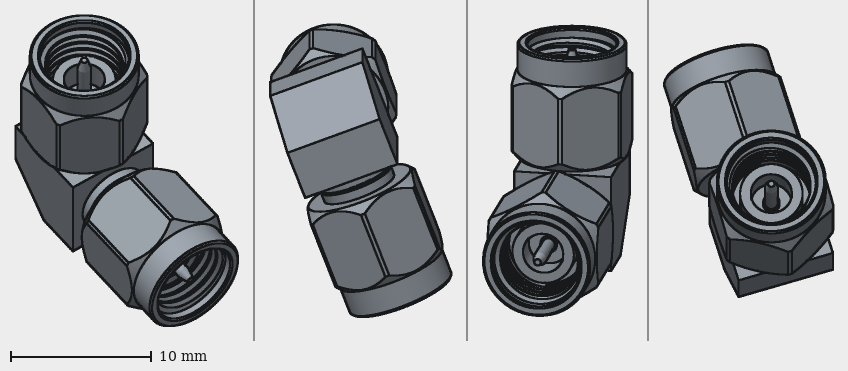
import cadquery as cq
import math

block_side = 7.03
elbow_chamfer = 3.46

neck_diameter = 5.33
upper_neck_length = 0.35
side_neck_length = 1.6
neck_groove_diameter = 4.9
neck_groove_width = 0.18
neck_groove_offset = 0.72

hex_flats = 7.95
hex_corner_diameter = 9.01
hex_length = 6.35
hex_bevel_length = 0.72
sleeve_diameter = 7.77
nut_length = 8.4
sleeve_bevel_length = 0.15
sleeve_bevel_width = 0.13

mouth_diameter = 6.6
mouth_bevel = 0.13
counterbore_diameter = 6.35
counterbore_depth = 0.7
thread_minor_diameter = 5.59
lead_in_length = 0.22
socket_depth = 4.32
thread_pitch = 0.7
thread_groove_width = 0.5
thread_groove_depth = 0.36
thread_start_depth = 3.9
thread_turns = 5

barrel_diameter = 4.45
barrel_face_depth = 2.61
cavity_diameter = 2.92
cavity_depth = 4.8
collar_diameter = 1.19
collar_height = 0.18
pin_diameter = 0.94
pin_tip_diameter = 0.47
pin_tip_depth = 0.52
pin_shoulder_depth = 1.33


def cylinder(diameter, bottom, top):
    """Round bar along Z between two heights."""
    return cq.Workplane("XY").workplane(offset=bottom).circle(diameter / 2).extrude(top - bottom)


def revolve_profile(points):
    """Solid of revolution about Z from (radius, height) points."""
    return cq.Workplane("XZ").polyline(points).close().revolve(360, (0, 0), (0, 1))


def make_block():
    """Square block with its outer bottom edge cut away at 45 degrees."""
    block = cq.Workplane("XY").box(block_side, block_side, block_side)
    return block.faces("<X").edges("<Z").chamfer(elbow_chamfer)


def make_nut_body():
    """Hexagon with turned corners and bevelled ends, plus the sleeve."""
    corner_to_corner = hex_flats / math.cos(math.radians(30))
    hexagon = cq.Workplane("XY").polygon(6, corner_to_corner).extrude(hex_length)
    end_radius = sleeve_diameter / 2
    corner_radius = hex_corner_diameter / 2
    envelope = revolve_profile([
        (0, 0),
        (end_radius, 0),
        (corner_radius, hex_bevel_length),
        (corner_radius, hex_length - hex_bevel_length),
        (end_radius, hex_length),
        (0, hex_length),
    ])
    sleeve = revolve_profile([
        (0, hex_length),
        (end_radius, hex_length),
        (end_radius, nut_length - sleeve_bevel_length),
        (end_radius - sleeve_bevel_width, nut_length),
        (0, nut_length),
    ])
    return hexagon.intersect(envelope).union(sleeve)


def make_socket():
    """Turned space inside the nut, before threading."""
    counterbore_floor = nut_length - counterbore_depth
    socket_floor = nut_length - socket_depth
    return revolve_profile([
        (0, socket_floor),
        (thread_minor_diameter / 2, socket_floor),
        (thread_minor_diameter / 2, counterbore_floor - lead_in_length),
        (counterbore_diameter / 2, counterbore_floor),
        (counterbore_diameter / 2, nut_length - mouth_bevel),
        (mouth_diameter / 2, nut_length),
        (0, nut_length),
    ])


def make_thread_groove():
    """Right-handed V groove reaching slightly inside the minor diameter."""
    start = nut_length - thread_start_depth
    inner_radius = thread_minor_diameter / 2
    overlap = 0.05
    half_width = thread_groove_width / 2 * (1 + overlap / thread_groove_depth)
    helix = cq.Wire.makeHelix(thread_pitch, thread_pitch * thread_turns, inner_radius, cq.Vector(0, 0, start))
    profile = cq.Workplane("XZ").polyline([
        (inner_radius - overlap, start - half_width),
        (inner_radius + thread_groove_depth, start),
        (inner_radius - overlap, start + half_width),
    ]).close()
    return profile.sweep(cq.Workplane(obj=helix), isFrenet=True)


def make_contact():
    """Hollow barrel with a collared, pointed pin standing in its cavity."""
    cavity_floor = nut_length - cavity_depth
    barrel_face = nut_length - barrel_face_depth
    barrel = cylinder(barrel_diameter, nut_length - socket_depth, barrel_face)
    cavity = cylinder(cavity_diameter, cavity_floor, barrel_face)
    pin = revolve_profile([
        (0, cavity_floor),
        (collar_diameter / 2, cavity_floor),
        (collar_diameter / 2, cavity_floor + collar_height),
        (pin_diameter / 2, cavity_floor + collar_height),
        (pin_diameter / 2, nut_length - pin_shoulder_depth),
        (pin_tip_diameter / 2, nut_length - pin_tip_depth),
        (0, nut_length - pin_tip_depth),
    ])
    return barrel, cavity, pin


def make_connector():
    """Complete plug along Z with the back of its nut at height zero."""
    barrel, cavity, pin = make_contact()
    nut = make_nut_body().cut(make_socket()).cut(make_thread_groove())
    return nut.union(barrel).cut(cavity).union(pin)


def make_arm(neck_length, grooved):
    """Neck and plug standing on the upper face of the block."""
    face = block_side / 2
    arm = cylinder(neck_diameter, face, face + neck_length)
    if grooved:
        groove_start = face + neck_groove_offset
        groove_end = groove_start + neck_groove_width
        ring = cylinder(neck_diameter, groove_start, groove_end)
        arm = arm.cut(ring.cut(cylinder(neck_groove_diameter, groove_start, groove_end)))
    return arm.union(make_connector().translate((0, 0, face + neck_length)))


upper_arm = make_arm(upper_neck_length, grooved=False)
side_arm = make_arm(side_neck_length, grooved=True).rotate((0, 0, 0), (0, 1, 0), 90)
result = make_block().union(upper_arm).union(side_arm)